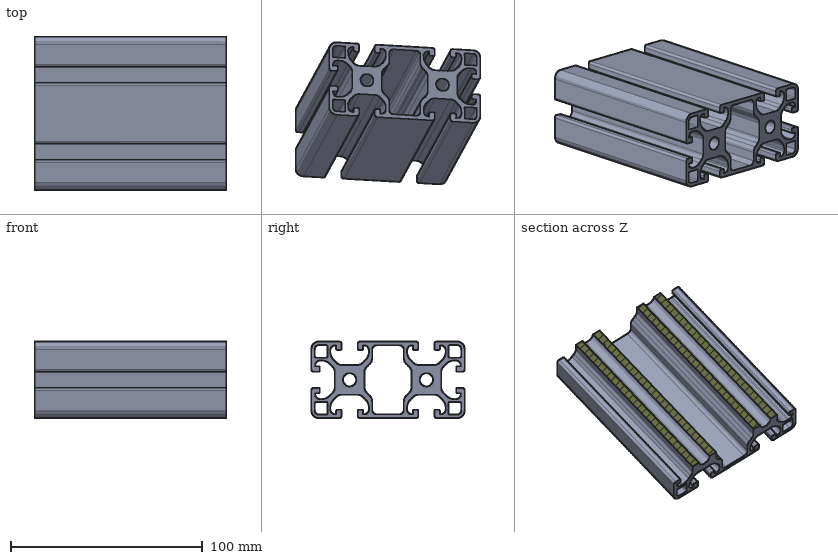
import cadquery as cq
import math

module = 40.0
length = 100.0
width = 2 * module
height = module
outer_corner_radius = 4.0

slot_opening_half = 4.15
slot_hook_half = 7.1
slot_cavity_half = 10.0
slot_hook_depth = 4.5
flange_thickness = 2.1
slot_depth = 12.2
slot_diagonal_sum = 17.9
mouth_radius = 1.3
hook_radius = 0.8
shoulder_radius = 2.5
cavity_radius = 5.9
floor_radius = 4.0

corner_wall = 1.95
slot_web = 1.6
corner_hollow_size = module / 2 - slot_cavity_half - slot_web - corner_wall
hollow_outer_radius = 2.0
hollow_inner_radius = 0.6

cell_center = module / 2
bore_diameter = 6.8
core_half = module / 2 - slot_depth
chamber_side_web = 1.8
chamber_half_width = cell_center - slot_cavity_half - chamber_side_web
chamber_half_height = height / 2 - flange_thickness
chamber_waist_half_width = cell_center - core_half
chamber_waist_half_height = 5.6
chamber_shoulder_half_height = chamber_waist_half_height + chamber_waist_half_width - chamber_half_width
chamber_corner_radius = 2.2
chamber_shoulder_radius = 4.0
chamber_waist_radius = 4.0


def rounded_prism(corners):
    """Extrude, along X, a polygon of (y, z, radius) corners with each corner rounded."""
    arcs = []
    for i, (y, z, radius) in enumerate(corners):
        before = corners[i - 1]
        after = corners[(i + 1) % len(corners)]
        corner = cq.Vector(y, z)
        to_before = (cq.Vector(before[0], before[1]) - corner).normalized()
        to_after = (cq.Vector(after[0], after[1]) - corner).normalized()
        half_angle = to_before.getAngle(to_after) / 2
        setback = radius / math.tan(half_angle)
        crown = radius / math.sin(half_angle) - radius
        start = corner + to_before * setback
        middle = corner + (to_before + to_after).normalized() * crown
        end = corner + to_after * setback
        arcs.append((start, middle, end, radius))

    outline = cq.Workplane("YZ").moveTo(arcs[0][2].x, arcs[0][2].y)
    for start, middle, end, radius in arcs[1:] + arcs[:1]:
        outline = outline.lineTo(start.x, start.y)
        if radius > 0:
            outline = outline.threePointArc((middle.x, middle.y), (end.x, end.y))
    return outline.close().extrude(length)


def turned(body, angle):
    return body.rotate((0, 0, 0), (1, 0, 0), angle)


def t_slot():
    """T-slot of a cell centered on the X axis, opening toward +Z."""
    face = module / 2
    clearance = 2.0
    half = [
        (slot_opening_half + clearance, face + clearance, 0),
        (slot_opening_half + clearance, face, 0),
        (slot_opening_half, face, mouth_radius),
        (slot_opening_half, face - slot_hook_depth, hook_radius),
        (slot_hook_half, face - slot_hook_depth, hook_radius),
        (slot_hook_half, face - flange_thickness, 0),
        (slot_cavity_half, face - flange_thickness, shoulder_radius),
        (slot_cavity_half, face - slot_diagonal_sum + slot_cavity_half, cavity_radius),
        (slot_diagonal_sum - slot_depth, face - slot_depth, floor_radius),
    ]
    mirrored = [(-y, z, radius) for y, z, radius in reversed(half)]
    return rounded_prism(half + mirrored)


def corner_hollow(side_y, side_z):
    outer_y = side_y * (width / 2 - corner_wall)
    outer_z = side_z * (height / 2 - corner_wall)
    inner_y = outer_y - side_y * corner_hollow_size
    inner_z = outer_z - side_z * corner_hollow_size
    return rounded_prism([
        (outer_y, outer_z, hollow_outer_radius),
        (inner_y, outer_z, hollow_inner_radius),
        (inner_y, inner_z, hollow_inner_radius),
        (outer_y, inner_z, hollow_inner_radius),
    ])


def middle_chamber():
    upper_right = [
        (chamber_waist_half_width, chamber_waist_half_height, chamber_waist_radius),
        (chamber_half_width, chamber_shoulder_half_height, chamber_shoulder_radius),
        (chamber_half_width, chamber_half_height, chamber_corner_radius),
    ]
    upper = upper_right + [(-y, z, radius) for y, z, radius in reversed(upper_right)]
    lower = [(y, -z, radius) for y, z, radius in reversed(upper)]
    return rounded_prism(upper + lower)


def bores():
    return (
        cq.Workplane("YZ")
        .pushPoints([(-cell_center, 0), (cell_center, 0)])
        .circle(bore_diameter / 2)
        .extrude(length)
    )


result = (
    cq.Workplane("YZ")
    .rect(width, height)
    .extrude(length)
    .edges("|X")
    .fillet(outer_corner_radius)
)
result = result.cut(middle_chamber()).cut(bores())

slot = t_slot()
for side in (-1, 1):
    end_slot = turned(slot, -90 * side)
    for cutter in (slot, turned(slot, 180), end_slot):
        result = result.cut(cutter.translate((0, side * cell_center, 0)))
    for side_z in (-1, 1):
        result = result.cut(corner_hollow(side, side_z))